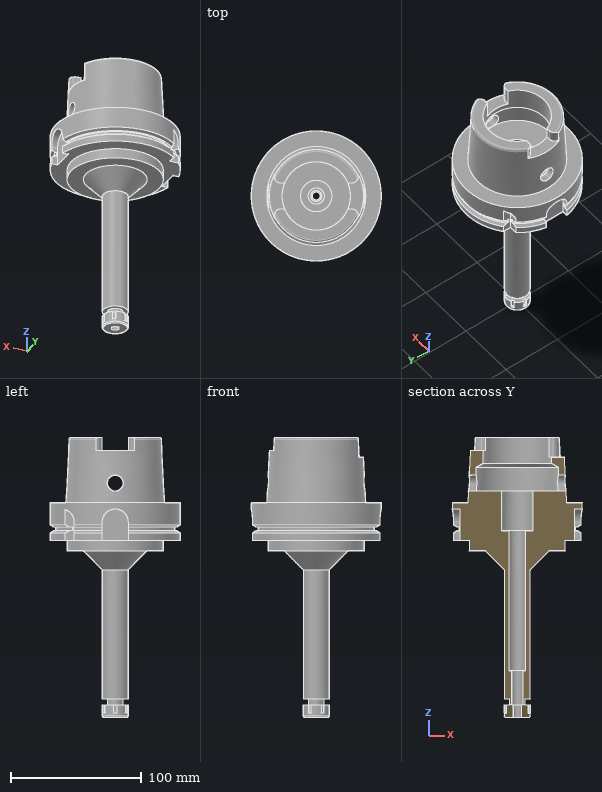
import cadquery as cq

total_height = 215.0
taper_height = 50.0
flange_bottom = -29.0
hub_bottom = -37.0
cone_bottom = -51.5
shank_bottom = -150.7
nut_top = -155.2
nut_bottom = taper_height - total_height

flange_radius = 100.0 / 2
taper_base_radius = 38.0
taper_slope = 0.05
hub_radius = 37.0
cone_top_radius = 24.5
shank_radius = 20.0 / 2
neck_radius = 6.0
rim_fillet = 1.5

groove_top = -17.0
groove_bottom = -23.2
groove_bevel_height = 1.7
groove_bevel_depth = 2.5
groove_floor_radius = 45.8

mouth_radius = 26.2
mouth_depth = 20.0
chamber_radius = 31.5
chamber_cone_height = 3.0
chamber_floor = 9.0
socket_radius = 12.0
socket_floor = -21.5
coolant_bore_radius = 6.2
coolant_bore_floor = -129.0
neck_bore_radius = 8.4 / 2

drive_slot_width = 20.0
drive_slot_corner = 5.0
drive_slot_reach = 32.2
shallow_drive_slot_depth = 9.9
deep_drive_slot_depth = 15.0

cross_hole_radius = 6.0
cross_hole_height = 15.0

notch_width = 20.0
notch_arc_center = -14.8
key_notch_floor = 44.0
index_notch_floor = 31.8
index_notch_offset = 41.5

nut_radius = 10.0
nut_chamfer_height = 1.0
nut_chamfer_width = 0.6
nut_hole_radius = 3.0
nut_slot_count = 6
nut_slot_width = 2.5
nut_slot_height = 6.2
nut_slot_depth = 1.5


def holder_blank():
    """Solid of revolution with the outer shape of the holder."""
    taper_top_radius = taper_base_radius - taper_slope * taper_height
    bevel_radius = flange_radius - groove_bevel_depth
    profile = [
        (0, taper_height),
        (taper_top_radius, taper_height),
        (taper_base_radius, 0),
        (flange_radius, 0),
        (flange_radius, groove_top),
        (bevel_radius, groove_top - groove_bevel_height),
        (groove_floor_radius, groove_top - groove_bevel_height),
        (groove_floor_radius, groove_bottom + groove_bevel_height),
        (bevel_radius, groove_bottom + groove_bevel_height),
        (flange_radius, groove_bottom),
        (flange_radius, flange_bottom),
        (hub_radius, flange_bottom),
        (hub_radius, hub_bottom),
        (cone_top_radius, hub_bottom),
        (shank_radius, cone_bottom),
        (shank_radius, shank_bottom),
        (neck_radius, shank_bottom),
        (neck_radius, nut_top),
        (0, nut_top),
    ]
    blank = cq.Workplane("XZ").polyline(profile).close().revolve(360, (0, 0), (0, 1))
    return blank.faces(">Z").edges().fillet(rim_fillet)


def holder_bore():
    """Stepped cavity: mouth, wider clamping chamber, socket and coolant bores."""
    mouth_bottom = taper_height - mouth_depth
    profile = [
        (0, taper_height),
        (mouth_radius, taper_height),
        (mouth_radius, mouth_bottom),
        (chamber_radius, mouth_bottom - chamber_cone_height),
        (chamber_radius, chamber_floor),
        (socket_radius, chamber_floor),
        (socket_radius, socket_floor),
        (coolant_bore_radius, socket_floor),
        (coolant_bore_radius, coolant_bore_floor),
        (neck_bore_radius, coolant_bore_floor),
        (neck_bore_radius, nut_top),
        (0, nut_top),
    ]
    return cq.Workplane("XZ").polyline(profile).close().revolve(360, (0, 0), (0, 1))


def drive_slot(side, depth):
    """Slot in the rim on one X side (side = 1 or -1) that flares outward in a rounded corner."""
    half_width = drive_slot_width / 2
    corner_start = drive_slot_reach - drive_slot_corner
    corner_middle = corner_start + drive_slot_corner * 0.5**0.5
    corner_drop = drive_slot_corner * (1 - 0.5**0.5)
    flare = half_width + drive_slot_corner
    outline = (
        cq.Workplane("XY")
        .workplane(offset=taper_height - depth)
        .moveTo(0, -half_width)
        .lineTo(side * corner_start, -half_width)
        .threePointArc((side * corner_middle, -half_width - corner_drop), (side * drive_slot_reach, -flare))
        .lineTo(side * flange_radius, -flare)
        .lineTo(side * flange_radius, flare)
        .lineTo(side * drive_slot_reach, flare)
        .threePointArc((side * corner_middle, half_width + corner_drop), (side * corner_start, half_width))
        .lineTo(0, half_width)
        .close()
    )
    return outline.extrude(depth)


def cross_hole():
    """Hole along X through both sides of the taper wall."""
    return (
        cq.Workplane("YZ")
        .center(0, cross_hole_height)
        .circle(cross_hole_radius)
        .extrude(flange_radius, both=True)
    )


def flange_notch(side, floor, offset):
    """Round-topped notch, open at the flange bottom, with a flat floor at X = side * floor."""
    half_width = notch_width / 2
    return (
        cq.Workplane("YZ")
        .workplane(offset=side * floor)
        .moveTo(offset - half_width, flange_bottom)
        .lineTo(offset - half_width, notch_arc_center)
        .threePointArc((offset, notch_arc_center + half_width), (offset + half_width, notch_arc_center))
        .lineTo(offset + half_width, flange_bottom)
        .close()
        .extrude(side * (flange_radius - floor))
    )


def make_holder():
    """Hollow-taper tool holder with flange, shank and neck."""
    holder = holder_blank().cut(holder_bore())
    holder = holder.cut(drive_slot(-1, shallow_drive_slot_depth))
    holder = holder.cut(drive_slot(1, deep_drive_slot_depth))
    holder = holder.cut(cross_hole())
    for side in (-1, 1):
        holder = holder.cut(flange_notch(side, key_notch_floor, 0))
    return holder.cut(flange_notch(-1, index_notch_floor, index_notch_offset))


def make_nut():
    """Clamping nut below the neck, with spanner slots open at its top."""
    chamfer_radius = nut_radius - nut_chamfer_width
    profile = [
        (nut_hole_radius, nut_top),
        (nut_radius, nut_top),
        (nut_radius, nut_bottom + nut_chamfer_height),
        (chamfer_radius, nut_bottom),
        (nut_hole_radius, nut_bottom),
    ]
    nut = cq.Workplane("XZ").polyline(profile).close().revolve(360, (0, 0), (0, 1))
    slot = (
        cq.Workplane("XY")
        .box(2 * nut_slot_depth, nut_slot_width, nut_slot_height)
        .translate((nut_radius, 0, nut_top - nut_slot_height / 2))
    )
    for i in range(nut_slot_count):
        nut = nut.cut(slot.rotate((0, 0, 0), (0, 0, 1), i * 360 / nut_slot_count))
    return nut


holder = make_holder()
nut = make_nut()
result = cq.Compound.makeCompound([holder.val(), nut.val()])